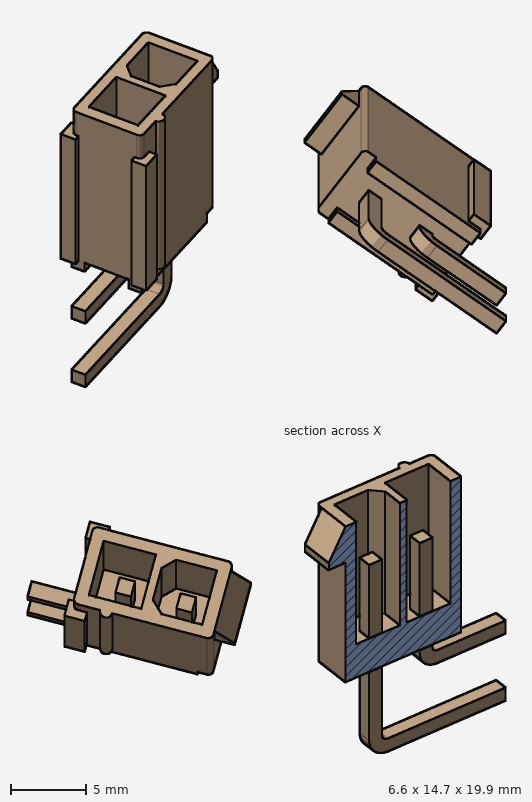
import cadquery as cq


body_width = 5.4
body_length = 9.6
body_height = 12.77
corner_radius = 0.35
side_x = body_width / 2
back_y = body_length / 2
front_y = -body_length / 2

cavity_width = 3.8
cavity_length = 3.6
cavity_pitch = 4.2
cavity_depth = 10.0
cavity_chamfer = 0.8

latch_width = 4.24
latch_reach = 1.4
latch_height = 3.0
latch_lip = 0.6
latch_root = 0.4

rail_span = 6.6
rail_width = 1.14
rail_length = 1.4
rail_overhang = 0.42
rail_top_gap = 2.0

rib_radius = 0.42
rib_reach = 0.4
rib_y = -2.5

foot_width = 1.0
foot_height = 0.76
foot_setback = 1.0
foot_root = 0.5

pin_size = 1.07
pin_offset = 0.2
pin_tip_depth = 4.0
pin_reach = 3.7
pin_end_y = front_y - pin_reach
back_pin_drop = 7.16
back_pin_bend = 0.5
front_pin_drop = 1.67
front_pin_bend = 0.35


def block(x_range, y_range, z_range):
    """Axis-aligned box given by its limits along each axis."""
    (x0, x1), (y0, y1), (z0, z1) = x_range, y_range, z_range
    return cq.Workplane("XY").box(x1 - x0, y1 - y0, z1 - z0, centered=False).translate((x0, y0, z0))


def make_housing():
    housing = cq.Workplane("XY").box(body_width, body_length, body_height, centered=(True, True, False))
    return housing.edges("|Z").fillet(corner_radius)


def make_cavity(center_y):
    """Rectangular pocket volume, open at the top of the housing."""
    cavity = cq.Workplane("XY").box(cavity_width, cavity_length, cavity_depth, centered=(True, True, False))
    return cavity.translate((0, center_y, body_height - cavity_depth))


def make_latch():
    """Ramp that rises from the top edge to a short vertical lip."""
    outer_y = back_y + latch_reach
    bottom_z = body_height - latch_height
    root_y = back_y - latch_root
    return (
        cq.Workplane("YZ")
        .moveTo(root_y, body_height)
        .lineTo(back_y, body_height)
        .lineTo(outer_y, bottom_z + latch_lip)
        .lineTo(outer_y, bottom_z)
        .lineTo(root_y, bottom_z)
        .close()
        .extrude(latch_width / 2, both=True)
    )


def make_rail():
    """Corner rail on the +X side."""
    outer_x = rail_span / 2
    outer_y = front_y - rail_overhang
    return block(
        (outer_x - rail_width, outer_x),
        (outer_y, outer_y + rail_length),
        (0, body_height - rail_top_gap),
    )


def make_foot():
    """Long foot under the +X side."""
    return block(
        (side_x - foot_width, side_x),
        (front_y, back_y - foot_setback),
        (-foot_height, foot_root),
    )


def make_rib():
    """Full-height round rib, partly sunk into the +X wall."""
    center_x = side_x + rib_reach - rib_radius
    return cq.Workplane("XY").center(center_x, rib_y).circle(rib_radius).extrude(body_height)


def make_pin(center_y, drop, inner_radius):
    """Square pin: upright through the housing floor, then bent toward -Y."""
    upright_back = center_y + pin_size / 2
    upright_front = center_y - pin_size / 2
    leg_bottom = -drop
    leg_top = leg_bottom + pin_size
    outer_radius = inner_radius + pin_size
    tip_z = body_height - pin_tip_depth
    bend_y = upright_front - inner_radius
    bend_z = leg_top + inner_radius
    return (
        cq.Workplane("YZ")
        .moveTo(upright_front, tip_z)
        .lineTo(upright_back, tip_z)
        .lineTo(upright_back, bend_z)
        .radiusArc((bend_y, leg_bottom), outer_radius)
        .lineTo(pin_end_y, leg_bottom)
        .lineTo(pin_end_y, leg_top)
        .lineTo(bend_y, leg_top)
        .radiusArc((upright_front, bend_z), -inner_radius)
        .close()
        .extrude(pin_size / 2, both=True)
    )


back_cavity_y = cavity_pitch / 2
front_cavity_y = -cavity_pitch / 2

result = make_housing().union(make_latch()).union(make_rib())
for side_part in (make_rail(), make_foot()):
    result = result.union(side_part).union(side_part.mirror("YZ"))

result = result.cut(make_cavity(back_cavity_y).edges("|Z and <Y").chamfer(cavity_chamfer))
result = result.cut(make_cavity(front_cavity_y))

result = result.union(make_pin(back_cavity_y + pin_offset, back_pin_drop, back_pin_bend))
result = result.union(make_pin(front_cavity_y + pin_offset, front_pin_drop, front_pin_bend))